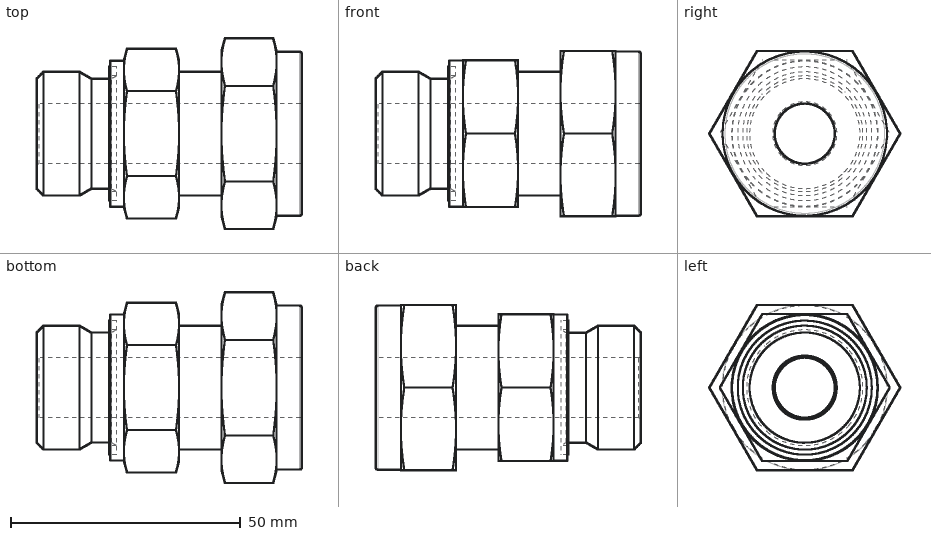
import cadquery as cq
import math

overall_length = 57.7
bore_radius = 6.5
bore_chamfer = 0.45

stud_radius = 13.5
neck_radius = 12.0
stud_chamfer = stud_radius - neck_radius
undercut_angle = 30.0
undercut_start_x = 9.3
undercut_length = (stud_radius - neck_radius) / math.tan(math.radians(undercut_angle))

seal_start_x = 15.7
seal_thickness = 1.75
seal_end_x = seal_start_x + seal_thickness
seal_outer_radius = 14.6
seal_inner_radius = 12.65
seal_protrusion = 0.3

collar_radius = 15.9
collar_face_x = seal_start_x + seal_protrusion
collar_chamfer = 0.1
recess_cone_length = (seal_inner_radius - neck_radius) / math.tan(math.radians(undercut_angle))

hex_length = 12.0
hex_chamfer_angle = 15.0
small_hex_start_x = 19.0
small_hex_flats = 32.0
large_hex_start_x = 40.2
large_hex_flats = 36.0

shank_radius = stud_radius
sleeve_radius = 17.9
sleeve_end_fillet = 0.5


def turned(profile):
    """Revolve (x, radius) points about the X axis, with the seam on the -Y side."""
    points = [(x, -radius) for x, radius in profile]
    return cq.Workplane("XY").polyline(points).close().revolve(360, (0, 0, 0), (1, 0, 0))


def cylinder(start_x, end_x, radius):
    return turned([(start_x, 0), (start_x, radius), (end_x, radius), (end_x, 0)])


def chamfered_hexagon(start_x, across_flats):
    """Hexagonal prism along X whose corners are turned off conically at both ends."""
    flat_radius = across_flats / 2
    corner_radius = flat_radius / math.cos(math.pi / 6)
    cone_length = (corner_radius - flat_radius) * math.tan(math.radians(hex_chamfer_angle))
    end_x = start_x + hex_length
    prism = (
        cq.Workplane("YZ", origin=(start_x, 0, 0))
        .polygon(6, 2 * corner_radius)
        .extrude(hex_length)
    )
    envelope = turned([
        (start_x, 0),
        (start_x, flat_radius),
        (start_x + cone_length, corner_radius),
        (end_x - cone_length, corner_radius),
        (end_x, flat_radius),
        (end_x, 0),
    ])
    return prism.intersect(envelope)


def make_stud_and_collar():
    """Threaded stud, undercut neck and collar with the seal recess in its face."""
    return turned([
        (0, 0),
        (0, stud_radius - stud_chamfer),
        (stud_chamfer, stud_radius),
        (undercut_start_x, stud_radius),
        (undercut_start_x + undercut_length, neck_radius),
        (seal_end_x - recess_cone_length, neck_radius),
        (seal_end_x, seal_inner_radius),
        (seal_end_x, seal_outer_radius),
        (collar_face_x, seal_outer_radius),
        (collar_face_x, collar_radius - collar_chamfer),
        (collar_face_x + collar_chamfer, collar_radius),
        (small_hex_start_x, collar_radius),
        (small_hex_start_x, 0),
    ])


def make_bore():
    """Through bore, chamfered at the threaded end."""
    return turned([
        (0, 0),
        (0, bore_radius + bore_chamfer),
        (bore_chamfer, bore_radius),
        (overall_length, bore_radius),
        (overall_length, 0),
    ])


def make_fitting():
    """Stud, collar, both hexagons, shank and sleeve as one bored-through solid."""
    small_hexagon = chamfered_hexagon(small_hex_start_x, small_hex_flats)
    shank = cylinder(small_hex_start_x + hex_length, large_hex_start_x, shank_radius)
    large_hexagon = chamfered_hexagon(large_hex_start_x, large_hex_flats)
    sleeve = cylinder(large_hex_start_x + hex_length, overall_length, sleeve_radius)
    sleeve = sleeve.faces(">X").edges().fillet(sleeve_end_fillet)
    solid = make_stud_and_collar()
    for section in (small_hexagon, shank, large_hexagon, sleeve):
        solid = solid.union(section)
    return solid.cut(make_bore())


def make_seal():
    """Flat ring seated against the floor and outer wall of the collar recess."""
    return turned([
        (seal_start_x, seal_inner_radius),
        (seal_start_x, seal_outer_radius),
        (seal_end_x, seal_outer_radius),
        (seal_end_x, seal_inner_radius),
    ])


fitting = make_fitting()
seal = make_seal()
result = cq.Compound.makeCompound([fitting.val(), seal.val()])